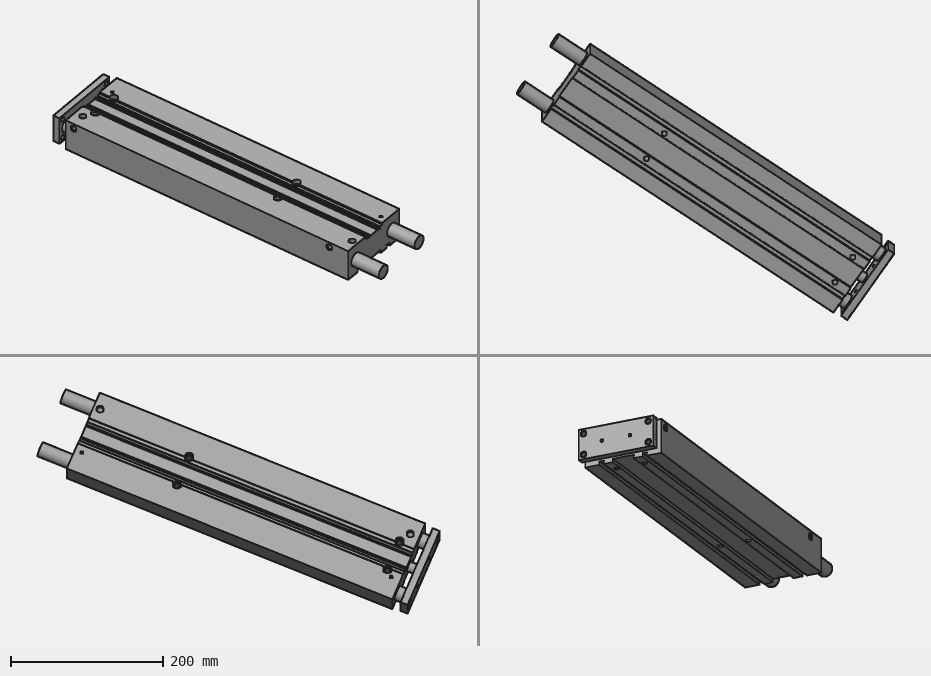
import cadquery as cq

plate_thickness = 10.0
plate_width = 109.5
plate_height = 43.0
piston_rod_diameter = 14.0
piston_rod_end = 106.0
corner_hole_diameter = 7.0
corner_hole_mouth_diameter = 8.5
corner_hole_y = 47.5
corner_hole_z = 15.0
plate_pin_hole_diameter = 4.0
plate_pin_hole_y = 20.5

overall_length = 529.5
guide_rod_diameter = 20.0
guide_rod_y = 39.0

housing_front = 21.0
housing_length = 463.5
housing_width = 112.0
housing_height = 48.0
housing_back = housing_front + housing_length
housing_top = housing_height / 2
housing_side = housing_width / 2

channel_half_width = 18.5
slot_outer_y = 14.0
slot_inner_y = 10.0
strip_half_width = 8.0
shelf_depth = 2.5
slot_depth = 6.0
ridge_depth = 3.0
strip_depth = 5.0

bottom_groove_depth = 5.0
bottom_channel_width = 30.5
bottom_slot_width = 6.5
bottom_slot_y = 32.0

mount_hole_x = (43.0, 342.5)
mount_hole_y = 20.5
mount_hole_diameter = 7.0
mount_counterbore_diameter = 11.0
mount_counterbore_depth = 7.5

top_port_x = (34.0, 475.5)
top_port_y = -35.5
port_diameter = 9.5
top_port_depth = 8.5
top_port_tip_depth = 2.5
pin_hole_x = (34.5, 475.0)
pin_hole_y = 28.5
pin_hole_diameter = 4.0
pin_hole_depth = 8.0
side_port_x = (34.0, 453.0)
side_port_z = 16.0
side_port_bore_diameter = 7.0
side_port_depth = 8.5


def rod_along_x(diameter, x_start, x_end, y):
    return cq.Workplane("YZ", origin=(x_start, y, 0)).circle(diameter / 2).extrude(x_end - x_start)


def hole_down(diameter, depth, x, y):
    return cq.Workplane("XY", origin=(x, y, housing_top)).circle(diameter / 2).extrude(-depth)


def chamfered_hole(mouth_diameter, bore_diameter, depth, mouth, direction):
    """A hole cutter with a 45 degree chamfer at its mouth."""
    mouth_radius = mouth_diameter / 2
    bore_radius = bore_diameter / 2
    chamfer = cq.Solid.makeCone(mouth_radius, bore_radius, mouth_radius - bore_radius, mouth, direction)
    bore = cq.Solid.makeCylinder(bore_radius, depth, mouth, direction)
    return cq.Workplane(chamfer.fuse(bore))


def drilled_port(x):
    """A blind hole with a conical drill point."""
    radius = port_diameter / 2
    bottom = -top_port_depth
    outline = (
        cq.Workplane("XZ", origin=(x, top_port_y, housing_top))
        .polyline([(0, 0), (radius, 0), (radius, bottom), (0, bottom - top_port_tip_depth)])
        .close()
    )
    return outline.revolve(360, (0, 0), (0, 1))


def housing_block():
    """The block with its stepped top channel, extruded from a mirrored half section."""
    half_section = [
        (0, -housing_top),
        (housing_side, -housing_top),
        (housing_side, housing_top),
        (channel_half_width, housing_top),
        (channel_half_width, housing_top - shelf_depth),
        (slot_outer_y, housing_top - shelf_depth),
        (slot_outer_y, housing_top - slot_depth),
        (slot_inner_y, housing_top - slot_depth),
        (slot_inner_y, housing_top - ridge_depth),
        (strip_half_width, housing_top - ridge_depth),
        (strip_half_width, housing_top - strip_depth),
        (0, housing_top - strip_depth),
    ]
    section = cq.Workplane("YZ", origin=(housing_front, 0, 0)).polyline(half_section).mirrorY()
    return section.extrude(housing_length)


def bottom_groove(y, width):
    start = cq.Workplane("YZ", origin=(housing_front, y, -housing_top))
    return start.rect(width, 2 * bottom_groove_depth).extrude(housing_length)


def make_housing():
    housing = housing_block()

    housing = housing.cut(bottom_groove(0, bottom_channel_width))
    for side in (-1, 1):
        housing = housing.cut(bottom_groove(side * bottom_slot_y, bottom_slot_width))

    housing = housing.cut(rod_along_x(piston_rod_diameter, housing_front, piston_rod_end, 0))
    for side in (-1, 1):
        guide_bore = rod_along_x(guide_rod_diameter, housing_front, housing_back, side * guide_rod_y)
        housing = housing.cut(guide_bore)

    for x in mount_hole_x:
        for y in (-mount_hole_y, mount_hole_y):
            housing = housing.cut(hole_down(mount_hole_diameter, housing_height, x, y))
            housing = housing.cut(hole_down(mount_counterbore_diameter, mount_counterbore_depth, x, y))

    for x in top_port_x:
        housing = housing.cut(drilled_port(x))
    for x in pin_hole_x:
        housing = housing.cut(hole_down(pin_hole_diameter, pin_hole_depth, x, pin_hole_y))
    for x in side_port_x:
        mouth = cq.Vector(x, -housing_side, side_port_z)
        side_port = chamfered_hole(
            port_diameter, side_port_bore_diameter, side_port_depth, mouth, cq.Vector(0, 1, 0)
        )
        housing = housing.cut(side_port)
    return housing


def make_plate_with_piston_rod():
    plate = cq.Workplane("XY").box(plate_thickness, plate_width, plate_height)
    plate = plate.translate((plate_thickness / 2, 0, 0))
    for side in (-1, 1):
        pin_hole = rod_along_x(plate_pin_hole_diameter, 0, plate_thickness, side * plate_pin_hole_y)
        plate = plate.cut(pin_hole)
        for level in (-1, 1):
            mouth = cq.Vector(0, side * corner_hole_y, level * corner_hole_z)
            corner_hole = chamfered_hole(
                corner_hole_mouth_diameter, corner_hole_diameter, plate_thickness, mouth, cq.Vector(1, 0, 0)
            )
            plate = plate.cut(corner_hole)
    return plate.union(rod_along_x(piston_rod_diameter, plate_thickness, piston_rod_end, 0))


def make_guide_rod(y):
    return rod_along_x(guide_rod_diameter, plate_thickness, overall_length, y)


housing = make_housing()
plate_with_piston_rod = make_plate_with_piston_rod()
guide_rods = [make_guide_rod(side * guide_rod_y) for side in (-1, 1)]

result = cq.Compound.makeCompound(
    [housing.val(), plate_with_piston_rod.val(), *[rod.val() for rod in guide_rods]]
)